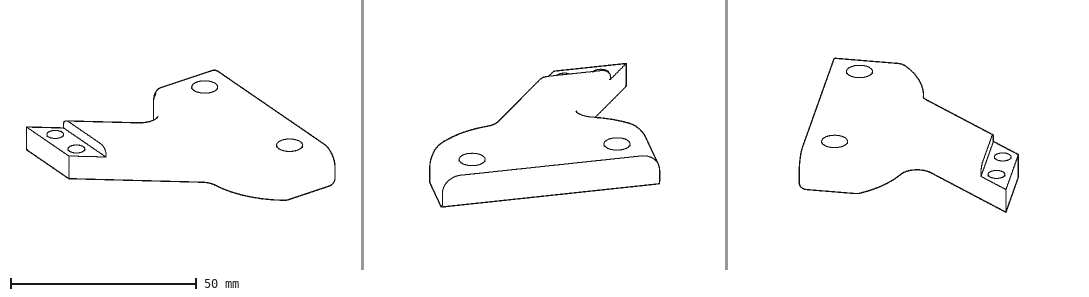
import cadquery as cq
import math

length_x = 63.6
length_y = 57.15
thickness = 10.0

body_width = 60.0
body_left = length_x - body_width
body_centre_x = length_x - body_width / 2
shoulder_y = length_y - 16.0
shoulder_arc_radius = 26.25
side_round = 5.0
edge_round = 2.0

arm_width = 20.0
arm_length_y = 30.1
arm_shift_x = body_centre_x - arm_width / 2
neck_radius = 5.0

pad_length_y = 7.9
pad_height = 7.0
pad_hole_diameter = 4.5
pad_hole_depth = 5.0
pad_hole_spacing = 10.0
pad_hole_y = pad_length_y / 2
pad_holes_centre_x = 13.0

mount_spacing = 40.0
mount_y = length_y - 8.0
mount_hole_diameter = 3.4
counterbore_diameter = 7.0
counterbore_depth = 6.0


def arc_bulge_point(start, end, radius):
    """Middle of the arc from start to end that bulges to the right of the direction of travel."""
    dx = end[0] - start[0]
    dy = end[1] - start[1]
    chord = math.hypot(dx, dy)
    sagitta = radius - math.sqrt(radius**2 - (chord / 2) ** 2)
    middle_x = (start[0] + end[0]) / 2 + sagitta * dy / chord
    middle_y = (start[1] + end[1]) / 2 - sagitta * dx / chord
    return (middle_x, middle_y)


def make_blank():
    """Extruded outline of the body, its two convex shoulders and the arm."""
    left_shoulder = (body_left, shoulder_y)
    right_shoulder = (length_x, shoulder_y)
    left_neck = (arm_shift_x, arm_length_y)
    right_neck = (arm_shift_x + arm_width, arm_length_y)
    return (
        cq.Workplane("XY")
        .moveTo(0, 0)
        .lineTo(arm_width, 0)
        .lineTo(*right_neck)
        .threePointArc(arc_bulge_point(right_neck, right_shoulder, shoulder_arc_radius), right_shoulder)
        .lineTo(length_x, length_y)
        .lineTo(body_left, length_y)
        .lineTo(*left_shoulder)
        .threePointArc(arc_bulge_point(left_shoulder, left_neck, shoulder_arc_radius), left_neck)
        .close()
        .extrude(thickness)
    )


def round_edges(blank):
    """Round the necks, the long sides, then the front rim and the bottom mounting edge."""
    middle_z = thickness / 2
    for neck_x in (arm_shift_x, arm_shift_x + arm_width):
        neck_edge = cq.selectors.NearestToPointSelector((neck_x, arm_length_y, middle_z))
        blank = blank.edges("|Z").edges(neck_edge).fillet(neck_radius)

    blank = blank.faces(">Z").edges("|Y").fillet(side_round)

    for corner_x in (body_left, length_x):
        corner_edge = cq.selectors.NearestToPointSelector((corner_x, shoulder_y, side_round / 2))
        blank = blank.edges("|Z").edges(corner_edge).fillet(edge_round)

    return blank.faces(">Y").edges("<Z").fillet(edge_round)


def cut_pad(part):
    """Lower the arm tip to the pad height and drill its two blind holes."""
    step = cq.Workplane("XY").box(
        length_x, pad_length_y, thickness - pad_height, centered=False
    ).translate((0, 0, pad_height))
    half = pad_hole_spacing / 2
    holes = (
        cq.Workplane("XY")
        .workplane(offset=pad_height - pad_hole_depth)
        .pushPoints([(pad_holes_centre_x + side * half, pad_hole_y) for side in (-1, 1)])
        .circle(pad_hole_diameter / 2)
        .extrude(pad_hole_depth)
    )
    return part.cut(step).cut(holes)


def cut_mounting_holes(part):
    """Counterbored through holes near both ends of the body."""
    half = mount_spacing / 2
    return (
        part.faces(">Z")
        .workplane(origin=(body_centre_x, mount_y, thickness))
        .pushPoints([(-half, 0), (half, 0)])
        .cboreHole(mount_hole_diameter, counterbore_diameter, counterbore_depth)
    )


result = cut_mounting_holes(cut_pad(round_edges(make_blank())))